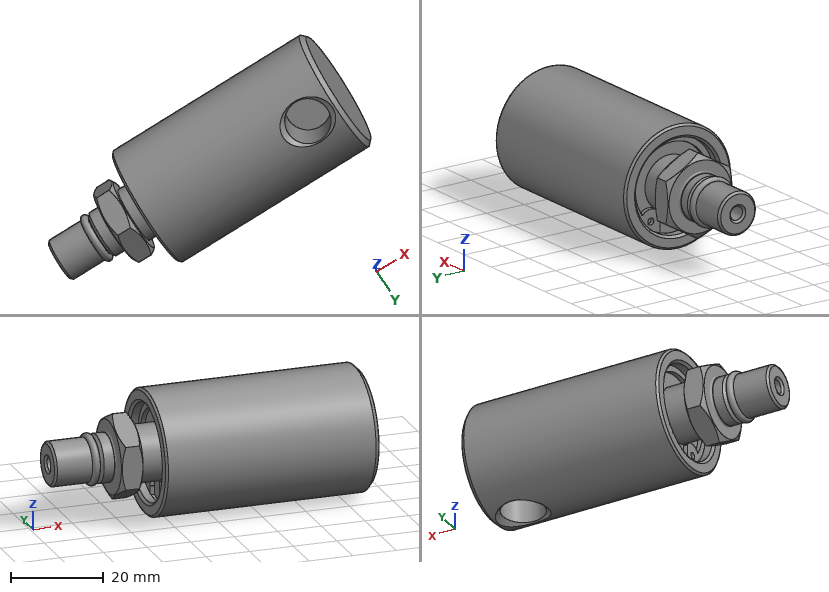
import cadquery as cq
import math

TOTAL_LENGTH = 71.4

TIP_DIAMETER = 10.0
TIP_CHAMFER = 0.5
GROOVE_DIAMETER = 8.6
GROOVE_START = 8.6
GROOVE_END = 10.4
COLLAR_DIAMETER = 11.0
COLLAR_CONE_LENGTH = 0.65
COLLAR_CONE_HEIGHT = 0.7
COLLAR_END = 13.5
NECK_DIAMETER = 10.7
HEX_START = 14.0
HEX_LENGTH = 5.0
HEX_ACROSS_FLATS = 17.0
HEX_FACE_DIAMETER = 16.55
HEX_TRIM_LENGTH = 0.9
SHAFT_DIAMETER = 12.85
BORE_DIAMETER = 3.2
BORE_CHAMFER = 0.5

SEAL_SECTION_DIAMETER = 1.7
SEAL_OUTER_DIAMETER = 11.6

HOUSING_DIAMETER = 28.35
HOUSING_START = 22.2
FRONT_CHAMFER = 0.5
REAR_CHAMFER = 1.1
RECESS_DIAMETER = 22.05
RECESS_CHAMFER = 0.6

RING_DEPTH = 2.4
RING_THICKNESS = 1.0
RING_INNER_DIAMETER = 19.3
RING_GROOVE_DIAMETER = 23.0
RING_GAP = 6.3
EAR_DIAMETER = 5.7
EAR_HOLE_DIAMETER = 1.6
EAR_Y = 5.6
EAR_Z = -7.5

PORT_X = 63.55
PORT_DIAMETER = 10.0
PORT_MOUTH_DIAMETER = 12.6

HEX_END = HEX_START + HEX_LENGTH
RING_START = HOUSING_START + RING_DEPTH
RECESS_FLOOR = RING_START + RING_THICKNESS


def cylinder(diameter, start, end, y=0, z=0):
    """Solid cylinder along X between two X stations."""
    return cq.Workplane("YZ", origin=(start, 0, 0)).center(y, z).circle(diameter / 2).extrude(end - start)


def cone(start_diameter, end_diameter, start, length):
    """Truncated cone about the X axis."""
    return cq.Workplane(
        cq.Solid.makeCone(
            start_diameter / 2, end_diameter / 2, length, cq.Vector(start, 0, 0), cq.Vector(1, 0, 0)
        )
    )



def make_neck():
    """Neck behind the collar, flaring in a quarter round into the hexagon face."""
    flare_radius = HEX_START - COLLAR_END
    neck_radius = NECK_DIAMETER / 2
    turn = flare_radius * math.sqrt(0.5)
    flare_middle = (COLLAR_END + turn, neck_radius + flare_radius - turn)
    return (
        cq.Workplane("XY")
        .moveTo(COLLAR_END, 0)
        .lineTo(COLLAR_END, neck_radius)
        .threePointArc(flare_middle, (HEX_START, neck_radius + flare_radius))
        .lineTo(HEX_START, 0)
        .close()
        .revolve(360, (0, 0, 0), (1, 0, 0))
    )


def make_hexagon():
    """Hexagon with corners at +Z and -Z, trimmed by a cone at each end."""
    across_corners = HEX_ACROSS_FLATS / math.cos(math.pi / 6)
    trim_height = (across_corners - HEX_FACE_DIAMETER) / 2
    prism = (
        cq.Workplane("YZ", origin=(HEX_START, 0, 0))
        .transformed(rotate=(0, 0, 90))
        .polygon(6, across_corners)
        .extrude(HEX_LENGTH)
    )
    trim = cylinder(across_corners, HEX_START, HEX_END)
    trim = trim.faces("<X or >X").chamfer(HEX_TRIM_LENGTH, trim_height)
    return prism.intersect(trim)


def make_seal():
    """Round ring in the middle of the rotor groove."""
    pitch_radius = (SEAL_OUTER_DIAMETER - SEAL_SECTION_DIAMETER) / 2
    centre = ((GROOVE_START + GROOVE_END) / 2, pitch_radius, 0)
    section_plane = cq.Plane(origin=centre, xDir=(0, -1, 0), normal=(0, 0, 1))
    return (
        cq.Workplane(section_plane)
        .circle(SEAL_SECTION_DIAMETER / 2)
        .revolve(360, (pitch_radius, 0, 0), (pitch_radius, 1, 0))
    )


def make_rotor():
    collar_start = GROOVE_END + COLLAR_CONE_LENGTH
    cone_start_diameter = COLLAR_DIAMETER - 2 * COLLAR_CONE_HEIGHT
    bore_mouth_diameter = BORE_DIAMETER + 2 * BORE_CHAMFER
    return (
        cylinder(TIP_DIAMETER, 0, GROOVE_START)
        .faces("<X")
        .chamfer(TIP_CHAMFER)
        .union(cylinder(GROOVE_DIAMETER, GROOVE_START, GROOVE_END))
        .union(make_seal())
        .union(cone(cone_start_diameter, COLLAR_DIAMETER, GROOVE_END, COLLAR_CONE_LENGTH))
        .union(cylinder(COLLAR_DIAMETER, collar_start, COLLAR_END))
        .union(make_neck())
        .union(make_hexagon())
        .union(cylinder(SHAFT_DIAMETER, HEX_END, RECESS_FLOOR))
        .cut(cylinder(BORE_DIAMETER, 0, RECESS_FLOOR))
        .cut(cone(bore_mouth_diameter, BORE_DIAMETER, 0, BORE_CHAMFER))
    )



def make_retaining_ring():
    """Open ring with a drilled round ear on each side of the gap at the bottom."""
    ring = cylinder(RING_GROOVE_DIAMETER, RING_START, RECESS_FLOOR)
    ears = cq.Workplane("YZ", origin=(RING_START, 0, 0))
    ears = ears.pushPoints([(-EAR_Y, EAR_Z), (EAR_Y, EAR_Z)])
    ears = ears.circle(EAR_DIAMETER / 2).extrude(RING_THICKNESS).intersect(ring)
    ring = ring.cut(cylinder(RING_INNER_DIAMETER, RING_START, RECESS_FLOOR)).union(ears)

    gap_height = RING_GROOVE_DIAMETER / 2
    gap = (
        cq.Workplane("YZ", origin=(RING_START, 0, 0))
        .center(0, -gap_height / 2)
        .rect(RING_GAP, gap_height)
        .extrude(RING_THICKNESS)
    )
    ring = ring.cut(gap)
    for side in (-1, 1):
        ring = ring.cut(cylinder(EAR_HOLE_DIAMETER, RING_START, RECESS_FLOOR, side * EAR_Y, EAR_Z))
    return ring


def make_port():
    """Cutter for the radial port: a hole from the axis down, widened by a 45 degree mouth."""
    radius = PORT_DIAMETER / 2
    mouth_radius = PORT_MOUTH_DIAMETER / 2
    bottom = -HOUSING_DIAMETER / 2
    return (
        cq.Workplane("XZ", origin=(PORT_X, 0, 0))
        .polyline(
            [
                (0, 0),
                (radius, 0),
                (radius, bottom + mouth_radius - radius),
                (mouth_radius, bottom),
                (0, bottom),
            ]
        )
        .close()
        .revolve(360, (0, 0, 0), (0, 1, 0))
    )


def make_housing():
    recess_mouth_diameter = RECESS_DIAMETER + 2 * RECESS_CHAMFER
    return (
        cylinder(HOUSING_DIAMETER, HOUSING_START, TOTAL_LENGTH)
        .faces("<X")
        .chamfer(FRONT_CHAMFER)
        .faces(">X")
        .chamfer(REAR_CHAMFER)
        .cut(cylinder(RECESS_DIAMETER, HOUSING_START, RECESS_FLOOR))
        .cut(cone(recess_mouth_diameter, RECESS_DIAMETER, HOUSING_START, RECESS_CHAMFER))
        .cut(cylinder(RING_GROOVE_DIAMETER, RING_START, RECESS_FLOOR))
        .union(make_retaining_ring())
        .cut(make_port())
    )


rotor = make_rotor()
housing = make_housing()

result = cq.Compound.makeCompound([rotor.solids().val(), housing.solids().val()])